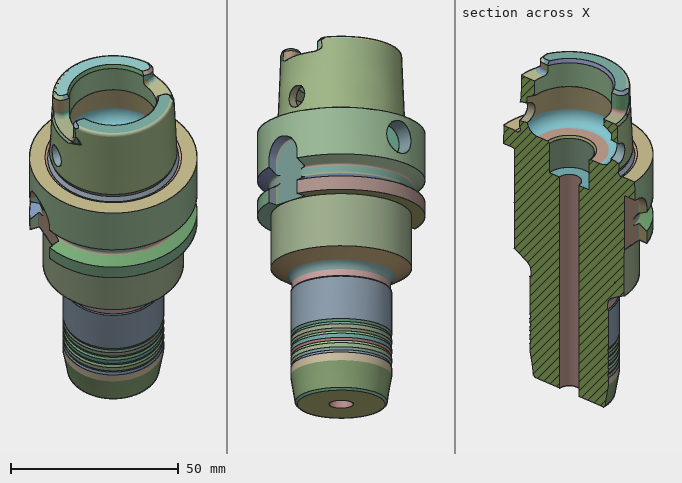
import cadquery as cq
import math


TAN_30 = math.tan(math.radians(30))

TOTAL_HEIGHT = 109.9
FACE_Z = 85.0
FLANGE_BOTTOM_Z = 59.1
BODY_BOTTOM_Z = 42.8

SHANK_TOP_RADIUS = 18.0
SHANK_BASE_RADIUS = 19.0
SHANK_BASE_Z = 87.0
SHANK_TOP_ROUND = 0.9
RELIEF_RADIUS = 18.6
RELIEF_Z = 85.8
FACE_GROOVE_INNER_RADIUS = 19.6
FACE_GROOVE_OUTER_RADIUS = 20.3
FACE_GROOVE_DEPTH = 0.3

FLANGE_RADIUS = 25.0
GROOVE_RADIUS = 21.4
GROOVE_MID_Z = 66.8
GROOVE_WIDTH = 6.9
GROOVE_ROUND = 0.8

BODY_RADIUS = 21.0
NECK_RADIUS = 14.7
NECK_ROUND = 3.0
NECK_STEP_TOP_Z = 35.5
NOSE_RADIUS = 15.1
NOSE_CONE_TOP_Z = 8.7
NOSE_END_RADIUS = 13.7
NOSE_END_CHAMFER = 0.7
RING_COUNT = 4
RING_TOP_Z = 21.9
RING_PITCH = 3.0
RING_WIDTH = 1.6
RING_DEPTH = 0.3

MOUTH_RADIUS = 13.1
MOUTH_CHAMFER_WIDTH = 0.5
MOUTH_CHAMFER_HEIGHT = 1.2
CLAMP_LIP_Z = 100.2
CLAMP_RADIUS = 15.9
BORE_FLOOR_Z = 86.2
BORE_FLOOR_ROUND = 4.1
TUBE_SEAT_RADIUS = 7.5
TUBE_SEAT_CHAMFER = 0.7
TUBE_SEAT_DEPTH = 11.0
COOLANT_RADIUS = 3.6

DRIVE_SLOT_HALF_WIDTH = 5.0
DRIVE_SLOT_FLARE_START = 13.8
DRIVE_SLOT_FLARE_RADIUS = 2.3
DRIVE_SLOT_FLOOR_ROUND = 1.3
DRIVE_SLOT_CHAMFER = 1.0
FRONT_DRIVE_FLOOR_Z = 102.5
REAR_DRIVE_FLOOR_Z = 105.5

DRIVE_RELIEF_DEPTH = 0.7
DRIVE_RELIEF_FLOOR_HALF_WIDTH = 5.8
DRIVE_RELIEF_HALF_WIDTH = 10.0
DRIVE_RELIEF_WIDEST_Z = 103.6
DRIVE_RELIEF_TOP_HALF_WIDTH = 8.8
DRIVE_RELIEF_TOP_Z = 105.9

ACCESS_HOLE_RADIUS = 3.3
ACCESS_HOLE_Z = 92.4
ACCESS_HOLE_TILT = 10.0

KEY_SLOT_FLOOR = BODY_RADIUS
KEY_SLOT_TOP_Z = 78.4
FRONT_KEY_SLOT_WIDTH = 14.0
REAR_KEY_SLOT_WIDTH = 12.0
KEY_SLOT_FLOOR_ROUND = 0.3
INDEX_HOLE_RADIUS = 5.1
INDEX_HOLE_Z = 78.0
INDEX_HOLE_FLOOR = 19.5

CLEARANCE = 2.2
TOLERANCE = 0.01


def turn(profile):
    """Revolve a closed (radius, height) profile about Z."""
    return profile.close().revolve(360, (0, 0, 0), (0, 1, 0))


def taper_radius(height):
    """Radius of the tapered shank surface at one height."""
    slope = (SHANK_BASE_RADIUS - SHANK_TOP_RADIUS) / (TOTAL_HEIGHT - SHANK_BASE_Z)
    return SHANK_TOP_RADIUS + (TOTAL_HEIGHT - height) * slope


def ring_groove_points():
    """V-groove points down the nose, from the highest groove to the lowest."""
    points = []
    for index in range(RING_COUNT):
        top = RING_TOP_Z - index * RING_PITCH
        points.append((NOSE_RADIUS, top))
        points.append((NOSE_RADIUS - RING_DEPTH, top - RING_WIDTH / 2))
        points.append((NOSE_RADIUS, top - RING_WIDTH))
    return points


def make_body():
    groove_top = GROOVE_MID_Z + GROOVE_WIDTH / 2
    groove_bottom = GROOVE_MID_Z - GROOVE_WIDTH / 2
    groove_flank = (FLANGE_RADIUS - GROOVE_RADIUS) * TAN_30
    neck_top = BODY_BOTTOM_Z - (BODY_RADIUS - NECK_RADIUS) * TAN_30
    neck_step = NOSE_RADIUS - NECK_RADIUS

    profile = (
        cq.Workplane("XZ")
        .moveTo(0, TOTAL_HEIGHT)
        .lineTo(SHANK_TOP_RADIUS, TOTAL_HEIGHT)
        .lineTo(SHANK_BASE_RADIUS, SHANK_BASE_Z)
        .lineTo(RELIEF_RADIUS, RELIEF_Z)
        .lineTo(FACE_GROOVE_INNER_RADIUS, FACE_Z - FACE_GROOVE_DEPTH)
        .lineTo(FACE_GROOVE_OUTER_RADIUS, FACE_Z)
        .lineTo(FLANGE_RADIUS, FACE_Z)
        .lineTo(FLANGE_RADIUS, groove_top)
        .lineTo(GROOVE_RADIUS, groove_top - groove_flank)
        .lineTo(GROOVE_RADIUS, groove_bottom + groove_flank)
        .lineTo(FLANGE_RADIUS, groove_bottom)
        .lineTo(FLANGE_RADIUS, FLANGE_BOTTOM_Z)
        .lineTo(BODY_RADIUS, FLANGE_BOTTOM_Z)
        .lineTo(BODY_RADIUS, BODY_BOTTOM_Z)
        .lineTo(NECK_RADIUS, neck_top)
        .lineTo(NECK_RADIUS, NECK_STEP_TOP_Z)
        .lineTo(NOSE_RADIUS, NECK_STEP_TOP_Z - neck_step)
    )
    for point in ring_groove_points():
        profile = profile.lineTo(*point)
    profile = (
        profile
        .lineTo(NOSE_RADIUS, NOSE_CONE_TOP_Z)
        .lineTo(NOSE_END_RADIUS, NOSE_END_CHAMFER)
        .lineTo(NOSE_END_RADIUS - NOSE_END_CHAMFER, 0)
        .lineTo(0, 0)
    )
    body = turn(profile)
    body = round_ring(body, SHANK_TOP_RADIUS, TOTAL_HEIGHT, SHANK_TOP_ROUND)
    body = round_ring(body, GROOVE_RADIUS, groove_top - groove_flank, GROOVE_ROUND)
    body = round_ring(body, GROOVE_RADIUS, groove_bottom + groove_flank, GROOVE_ROUND)
    return round_ring(body, NECK_RADIUS, neck_top, NECK_ROUND)


def round_ring(solid, radius, height, fillet_radius):
    """Fillet the circular edge of a turned solid at one radius and height."""
    def on_ring(edge):
        if edge.geomType() != "CIRCLE":
            return False
        same_height = abs(edge.Center().z - height) < TOLERANCE
        return same_height and abs(edge.radius() - radius) < TOLERANCE

    return solid.newObject(solid.edges().filter(on_ring).vals()).fillet(fillet_radius)


def make_bore():
    clamp_z = CLAMP_LIP_Z - (CLAMP_RADIUS - MOUTH_RADIUS) * TAN_30
    seat_floor_z = BORE_FLOOR_Z - TUBE_SEAT_DEPTH
    profile = (
        cq.Workplane("XZ")
        .moveTo(0, TOTAL_HEIGHT)
        .lineTo(MOUTH_RADIUS + MOUTH_CHAMFER_WIDTH, TOTAL_HEIGHT)
        .lineTo(MOUTH_RADIUS, TOTAL_HEIGHT - MOUTH_CHAMFER_HEIGHT)
        .lineTo(MOUTH_RADIUS, CLAMP_LIP_Z)
        .lineTo(CLAMP_RADIUS, clamp_z)
        .lineTo(CLAMP_RADIUS, BORE_FLOOR_Z + BORE_FLOOR_ROUND)
        .radiusArc((CLAMP_RADIUS - BORE_FLOOR_ROUND, BORE_FLOOR_Z), BORE_FLOOR_ROUND)
        .lineTo(TUBE_SEAT_RADIUS + TUBE_SEAT_CHAMFER, BORE_FLOOR_Z)
        .lineTo(TUBE_SEAT_RADIUS, BORE_FLOOR_Z - TUBE_SEAT_CHAMFER)
        .lineTo(TUBE_SEAT_RADIUS, seat_floor_z)
        .lineTo(COOLANT_RADIUS, seat_floor_z)
        .lineTo(COOLANT_RADIUS, 0)
        .lineTo(0, 0)
    )
    return turn(profile)


def drive_slot_outline(height, margin):
    """Plan of a drive slot on the -Y side, widened all round by a margin.

    Parallel walls run out from the bore, then flare round to meet the taper."""
    half_width = DRIVE_SLOT_HALF_WIDTH + margin
    flare_radius = DRIVE_SLOT_FLARE_RADIUS - margin
    shoulder_x = half_width + flare_radius
    shoulder_y = -DRIVE_SLOT_FLARE_START - flare_radius
    inner_y = -MOUTH_RADIUS / 2
    outer_x = shoulder_x + CLEARANCE
    outer_y = -SHANK_BASE_RADIUS - CLEARANCE
    return (
        cq.Workplane("XY", origin=(0, 0, height))
        .moveTo(-half_width, inner_y)
        .lineTo(half_width, inner_y)
        .lineTo(half_width, -DRIVE_SLOT_FLARE_START)
        .radiusArc((shoulder_x, shoulder_y), -flare_radius)
        .lineTo(outer_x, shoulder_y)
        .lineTo(outer_x, outer_y)
        .lineTo(-outer_x, outer_y)
        .lineTo(-outer_x, shoulder_y)
        .lineTo(-shoulder_x, shoulder_y)
        .radiusArc((-half_width, -DRIVE_SLOT_FLARE_START), -flare_radius)
        .close()
    )


def make_drive_slot(floor_z):
    slot = (
        drive_slot_outline(floor_z, 0)
        .extrude(TOTAL_HEIGHT - floor_z)
        .faces("<Z").edges().fillet(DRIVE_SLOT_FLOOR_ROUND)
    )
    bevel = (
        drive_slot_outline(TOTAL_HEIGHT, DRIVE_SLOT_CHAMFER)
        .extrude(-DRIVE_SLOT_CHAMFER, taper=45)
    )
    return slot.union(bevel)


def make_drive_slot_relief():
    """Shallow relief in the taper around the floor of the -Y drive slot.

    It starts as a 45 degree bevel on the floor edge and fades out up the taper."""
    bottom_z = FRONT_DRIVE_FLOOR_Z - DRIVE_RELIEF_DEPTH
    area = (
        cq.Workplane("XZ")
        .moveTo(-DRIVE_RELIEF_FLOOR_HALF_WIDTH, bottom_z)
        .lineTo(DRIVE_RELIEF_FLOOR_HALF_WIDTH, bottom_z)
        .lineTo(DRIVE_RELIEF_HALF_WIDTH, DRIVE_RELIEF_WIDEST_Z)
        .lineTo(DRIVE_RELIEF_TOP_HALF_WIDTH, DRIVE_RELIEF_TOP_Z)
        .lineTo(-DRIVE_RELIEF_TOP_HALF_WIDTH, DRIVE_RELIEF_TOP_Z)
        .lineTo(-DRIVE_RELIEF_HALF_WIDTH, DRIVE_RELIEF_WIDEST_Z)
        .close()
        .extrude(SHANK_BASE_RADIUS + CLEARANCE)
    )
    bevel_inner_radius = taper_radius(bottom_z) - DRIVE_RELIEF_DEPTH
    bevel_outer_radius = bevel_inner_radius + DRIVE_RELIEF_DEPTH + CLEARANCE
    core = turn(
        cq.Workplane("XZ")
        .moveTo(0, bottom_z - CLEARANCE)
        .lineTo(bevel_outer_radius, bottom_z - CLEARANCE)
        .lineTo(bevel_inner_radius, FRONT_DRIVE_FLOOR_Z)
        .lineTo(taper_radius(DRIVE_RELIEF_TOP_Z), DRIVE_RELIEF_TOP_Z)
        .lineTo(0, DRIVE_RELIEF_TOP_Z)
    )
    return area.cut(core)


def make_access_hole():
    """Hole through the -Y shank wall, rising slightly towards the axis."""
    outer_radius = taper_radius(ACCESS_HOLE_Z)
    cutter = (
        cq.Workplane("XZ", origin=(0, -MOUTH_RADIUS, ACCESS_HOLE_Z))
        .circle(ACCESS_HOLE_RADIUS)
        .extrude(outer_radius - MOUTH_RADIUS + CLEARANCE)
    )
    pivot = (0, -outer_radius, ACCESS_HOLE_Z)
    return cutter.rotate(pivot, (1, -outer_radius, ACCESS_HOLE_Z), ACCESS_HOLE_TILT)


def make_key_slot(width):
    """Round-topped slot on the -Y side, open at the flange bottom."""
    half_width = width / 2
    return (
        cq.Workplane("XZ", origin=(0, -KEY_SLOT_FLOOR, 0))
        .moveTo(-half_width, FLANGE_BOTTOM_Z)
        .lineTo(-half_width, KEY_SLOT_TOP_Z - half_width)
        .threePointArc((0, KEY_SLOT_TOP_Z), (half_width, KEY_SLOT_TOP_Z - half_width))
        .lineTo(half_width, FLANGE_BOTTOM_Z)
        .close()
        .extrude(FLANGE_RADIUS - KEY_SLOT_FLOOR + CLEARANCE)
        .faces(">Y").edges("not <Z").fillet(KEY_SLOT_FLOOR_ROUND)
    )


def make_index_hole():
    """Flat-bottomed blind hole in the -X side of the flange."""
    return (
        cq.Workplane("YZ", origin=(-INDEX_HOLE_FLOOR, 0, INDEX_HOLE_Z))
        .circle(INDEX_HOLE_RADIUS)
        .extrude(INDEX_HOLE_FLOOR - FLANGE_RADIUS - CLEARANCE)
    )


def to_rear(cutter):
    """Turn a cutter from the -Y side to the +Y side."""
    return cutter.rotate((0, 0, 0), (0, 0, 1), 180)


result = (
    make_body()
    .cut(make_bore())
    .cut(make_drive_slot(FRONT_DRIVE_FLOOR_Z))
    .cut(make_drive_slot_relief())
    .cut(to_rear(make_drive_slot(REAR_DRIVE_FLOOR_Z)))
    .cut(make_access_hole())
    .cut(to_rear(make_access_hole()))
    .cut(make_key_slot(FRONT_KEY_SLOT_WIDTH))
    .cut(to_rear(make_key_slot(REAR_KEY_SLOT_WIDTH)))
    .cut(make_index_hole())
)